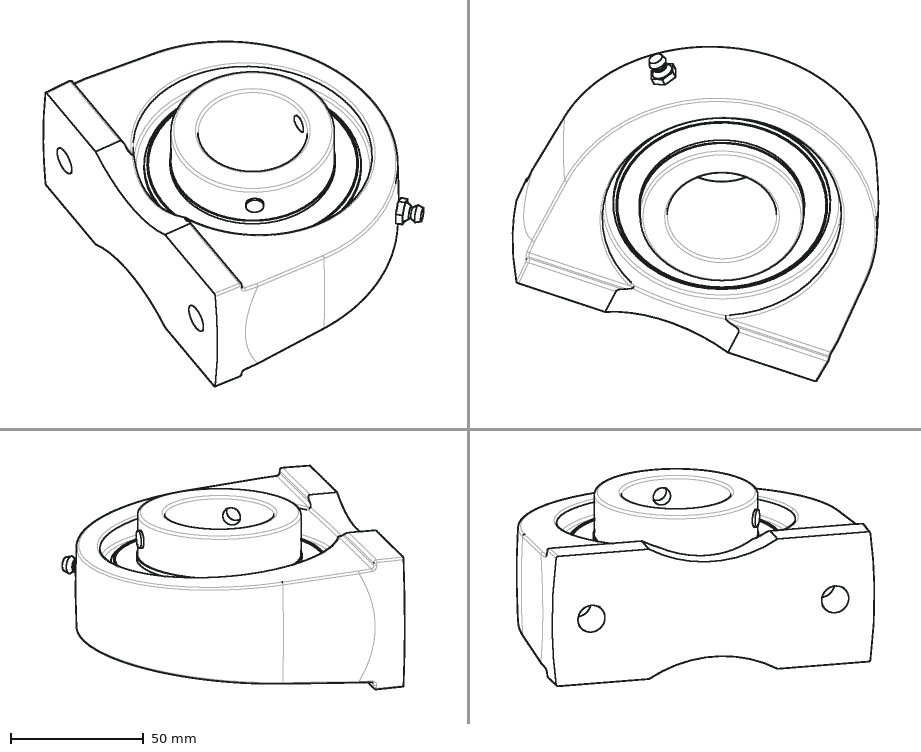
import cadquery as cq
import math


base_y = -54.1
crown_y = 54.0
wall_radius = 62.3
wall_centre_y = crown_y - wall_radius
side_flare = 1.9
wall_crown_radius = 323.7
widest_half_width = 63.5
widest_y = -42.4
base_flare = 2.4
base_crown_radius = 196.8

back_half_height = 16.1
wedge_angle = 3.8
base_half_height = 25.6
step_y = -42.3
step_round = 1.1
edge_round = 0.9

scallop_radius = 49.4
scallop_floor_z = 18.8
mount_hole_diameter = 10.5
mount_hole_x = 47.6
mount_hole_depth = 20.3
drill_point_angle = 118.0

recess_radius = 90.1 / 2
recess_mouth_round = 1.0
recess_floor_round = 1.0
seat_half_width = 10.2
seat_sphere_radius = 42.3

ring_half_width = 11.8
ring_edge_radius = 39.9
seal_radius = 78.7 / 2
land_radius = 76.7 / 2
seal_rim_z = 11.4
seal_inner_z = 11.9
seal_thickness = 1.5

bore_radius = 41.3 / 2
collar_radius = 61.7 / 2
shoulder_radius = 62.5 / 2
inner_top_z = 30.1
inner_bottom_z = -19.0
collar_bottom_z = 13.5
rim_round = 1.0

screw_diameter = 6.7
screw_z = 22.2
screw_angles = (90.0, -30.0)
screw_inner_radius = 26.7
screw_outer_radius = 31.7

nipple_angle = 45.0
nipple_shank_diameter = 6.0
nipple_shank_start = 49.5
hex_start = 56.5
hex_end = 59.2
hex_across_flats = 8.8
cone_start_radius = 3.9
cone_end = 61.1
cone_end_radius = 2.5
neck_end = 61.8
neck_radius = 2.2
head_start = 63.6
head_radius = 6.7 / 2
nipple_end = 65.8
nipple_end_radius = 2.7

envelope_reach = 76.2
side_overlap = 12.7
scallop_overrun = 2.5
tolerance = 0.01


def both_ends(solid):
    """The solid together with its mirror image below the XY plane."""
    return solid.union(solid.mirror("XY"))


def crowned_section(plane, inner_x, edge_x, crown_radius):
    """Closed wire from inner_x out to a crowned edge that reaches edge_x at mid-height."""
    sag = crown_radius - math.sqrt(crown_radius**2 - base_half_height**2)
    return (
        cq.Workplane(plane)
        .moveTo(inner_x, -base_half_height)
        .lineTo(edge_x - sag, -base_half_height)
        .threePointArc((edge_x, 0), (edge_x - sag, base_half_height))
        .lineTo(inner_x, base_half_height)
        .close()
    )


def wall_envelope():
    """Rounded back and two flaring sides of the housing, tangent to each other."""
    section = crowned_section("XZ", 0, wall_radius, wall_crown_radius)
    envelope = section.revolve(360, (0, 0), (0, 1))
    flare = math.radians(side_flare)
    side_plane = cq.Plane(
        origin=(0, 0, 0),
        xDir=(math.cos(flare), math.sin(flare), 0),
        normal=(math.sin(flare), -math.cos(flare), 0),
    )
    side = crowned_section(side_plane, -side_overlap, wall_radius, wall_crown_radius)
    side = side.extrude(envelope_reach)
    return envelope.union(side).union(side.mirror("YZ")).translate((0, wall_centre_y, 0))


def base_envelope():
    """Space between the two crowned side faces of the base, narrowing towards the base."""
    flare = math.radians(base_flare)
    side_plane = cq.Plane(
        origin=(widest_half_width, widest_y, 0),
        xDir=(math.cos(flare), -math.sin(flare), 0),
        normal=(-math.sin(flare), -math.cos(flare), 0),
    )
    side = crowned_section(side_plane, -2 * envelope_reach, 0, base_crown_radius)
    side = side.extrude(2 * envelope_reach, both=True)
    return side.intersect(side.mirror("YZ"))


def thickness_block():
    """Wedge that thickens towards the base and ends in a stepped foot."""
    slope = math.tan(math.radians(wedge_angle))

    def wedge_z(y):
        return back_half_height + (crown_y - y) * slope

    upper = [
        (base_y, base_half_height),
        (step_y, base_half_height),
        (step_y, wedge_z(step_y)),
        (crown_y, back_half_height),
    ]
    lower = [(y, -z) for y, z in reversed(upper)]
    block = cq.Workplane("YZ").polyline(upper + lower).close().extrude(envelope_reach, both=True)
    step_edges = cq.selectors.BoxSelector(
        (-tolerance, step_y - tolerance, -envelope_reach),
        (tolerance, step_y + tolerance, envelope_reach),
    )
    return block.edges(step_edges).fillet(step_round)


def scallop():
    """Cylindrical cutter along Y that hollows the upper side of the foot."""
    return (
        cq.Workplane("XZ", origin=(0, base_y, scallop_floor_z + scallop_radius))
        .circle(scallop_radius)
        .extrude(-(step_y + scallop_overrun - base_y))
    )


def recess():
    """Round recess above the bearing seat, with a rounded floor corner."""
    cutter = cq.Workplane("XY", origin=(0, 0, seat_half_width)).circle(recess_radius)
    return cutter.extrude(envelope_reach).faces("<Z").edges().fillet(recess_floor_round)


def mount_hole(x):
    """Blind hole in the base with a drill point."""
    radius = mount_hole_diameter / 2
    point = radius / math.tan(math.radians(drill_point_angle / 2))
    return (
        cq.Workplane("XY", origin=(x, base_y, 0))
        .polyline([(0, 0), (radius, 0), (radius, mount_hole_depth), (0, mount_hole_depth + point)])
        .close()
        .revolve(360, (0, 0), (0, 1))
    )


def is_outer_rim(edge):
    """Whether the edge separates the side wall from the upper or lower housing surfaces."""
    start, end = edge.startPoint(), edge.endPoint()
    crosses_mid_height = start.z * end.z < 0
    runs_along_x = edge.geomType() == "LINE" and abs(start.y - end.y) < tolerance
    return not crosses_mid_height and not runs_along_x


def is_recess_mouth(edge):
    """Whether the edge lies on the upper or lower recess wall where it leaves the housing."""
    points = [edge.positionAt(t) for t in (0, 0.3, 0.7, 1)]
    on_wall = all(abs(math.hypot(p.x, p.y) - recess_radius) < tolerance for p in points)
    floor_corner = seat_half_width + recess_floor_round
    return on_wall and all(abs(p.z) > floor_corner + tolerance for p in points)


def make_housing(nipple):
    """Cast housing with mounting holes and a socket that fits the grease nipple."""
    blank = wall_envelope().intersect(thickness_block()).intersect(base_envelope())
    rim = [edge for edge in blank.edges().vals() if is_outer_rim(edge)]
    body = blank.newObject(rim).fillet(edge_round)
    body = body.cut(both_ends(scallop())).cut(both_ends(recess()))
    mouth = [edge for edge in body.edges().vals() if is_recess_mouth(edge)]
    body = body.newObject(mouth).fillet(recess_mouth_round)
    body = body.cut(cq.Workplane("XY").sphere(seat_sphere_radius))
    for x in (-mount_hole_x, mount_hole_x):
        body = body.cut(mount_hole(x))
    return body.cut(nipple)


def revolved(points):
    """Solid of revolution about the Z axis from (radius, z) points."""
    return cq.Workplane("XZ").polyline(points).close().revolve(360, (0, 0), (0, 1))


def make_seal():
    """Upper seal: a slightly dished washer."""
    return revolved([
        (shoulder_radius, seal_inner_z),
        (seal_radius, seal_rim_z),
        (seal_radius, seal_rim_z - seal_thickness),
        (shoulder_radius, seal_inner_z - seal_thickness),
    ])


def make_outer_ring():
    """Ring with a spherical outside, chamfered corners and a seat for each seal."""
    blank = cq.Workplane("XY").circle(seat_sphere_radius).circle(land_radius)
    blank = blank.extrude(ring_half_width, both=True)
    cone_reach = ring_edge_radius + ring_half_width
    corner_cone = revolved([(0, -cone_reach), (cone_reach, 0), (0, cone_reach)])
    ring = blank.intersect(cq.Workplane("XY").sphere(seat_sphere_radius)).intersect(corner_cone)
    seal_seat = cq.Workplane("XY", origin=(0, 0, seal_rim_z - seal_thickness))
    seal_seat = seal_seat.circle(seal_radius).extrude(ring_half_width)
    return ring.cut(both_ends(seal_seat))


def screw_cylinder(angle, start, end):
    """Radial cylinder of the set screw size between two distances from the axis."""
    cylinder = cq.Workplane("YZ", origin=(start, 0, screw_z)).circle(screw_diameter / 2)
    return cylinder.extrude(end - start).rotate((0, 0, 0), (0, 0, 1), angle)


def make_inner_ring():
    """Inner ring with a wide collar that carries the set screws."""
    ring = revolved([
        (bore_radius, inner_bottom_z),
        (collar_radius, inner_bottom_z),
        (collar_radius, -collar_bottom_z),
        (shoulder_radius, -collar_bottom_z),
        (shoulder_radius, collar_bottom_z),
        (collar_radius, collar_bottom_z),
        (collar_radius, inner_top_z),
        (bore_radius, inner_top_z),
    ])
    ring = ring.faces("<Z or >Z").edges().fillet(rim_round)
    for angle in screw_angles:
        ring = ring.cut(screw_cylinder(angle, 0, 2 * collar_radius))
    return ring


def make_nipple():
    """Grease nipple: round shank, hexagon, cone, neck and head."""
    shank_radius = nipple_shank_diameter / 2
    turned = revolved([
        (0, nipple_shank_start),
        (shank_radius, nipple_shank_start),
        (shank_radius, hex_end),
        (cone_start_radius, hex_end),
        (cone_end_radius, cone_end),
        (neck_radius, cone_end),
        (neck_radius, neck_end),
        (head_radius, head_start),
        (nipple_end_radius, nipple_end),
        (0, nipple_end),
    ])
    across_corners = hex_across_flats / math.cos(math.radians(30))
    hexagon = cq.Workplane("XY", origin=(0, 0, hex_start)).polygon(6, across_corners)
    hexagon = hexagon.extrude(hex_end - hex_start)
    nipple = turned.union(hexagon)
    return nipple.rotate((0, 0, 0), (0, 1, 0), 90).rotate((0, 0, 0), (0, 0, 1), nipple_angle)


nipple = make_nipple()
housing = make_housing(nipple)
upper_seal = make_seal()
lower_seal = upper_seal.mirror("XY")
outer_ring = make_outer_ring()
inner_ring = make_inner_ring()
screws = [screw_cylinder(angle, screw_inner_radius, screw_outer_radius) for angle in screw_angles]

bodies = [housing, outer_ring, inner_ring, upper_seal, lower_seal, nipple, *screws]
result = cq.Compound.makeCompound([body.val() for body in bodies])